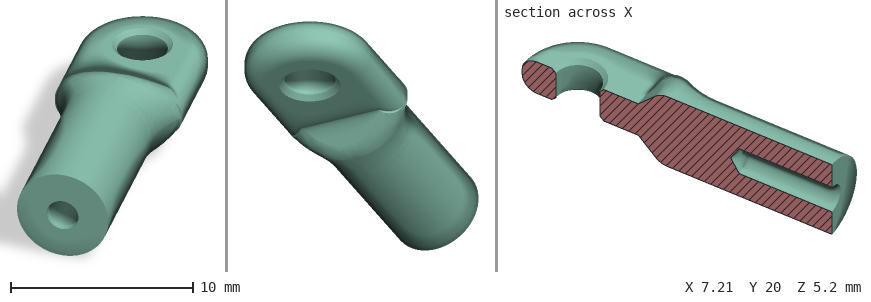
import cadquery as cq
import math

LENGTH = 20.0
SHANK_RADIUS = 2.6
SHANK_LENGTH = 8.55

EYE_RADIUS = 3.6
EYE_THICKNESS = 2.35
EYE_EDGE_FILLET = 1.0
EYE_CENTER_Y = LENGTH - EYE_RADIUS
HOLE_DIAMETER = 2.8
HOLE_CHAMFER = 0.28

BEND_INNER_RADIUS = 4.6
BEND_RADIUS = BEND_INNER_RADIUS + SHANK_RADIUS
BEND_ANGLE = 39.0
RAMP_FOOT_Y = 12.5
RAMP_ROUNDING = 1.2
ROUNDING_STOCK = 1.0

BORE_DIAMETER = 1.8
BORE_DEPTH = 6.0
DRILL_POINT_ANGLE = 118.0


def make_eye():
    """Flat bar with a half-round tip and rounded long edges, starting at the ramp rounding."""
    start_y = SHANK_LENGTH + BEND_INNER_RADIUS * math.sin(math.acos(
        (BEND_RADIUS - EYE_RADIUS) / BEND_INNER_RADIUS))
    eye = (
        cq.Workplane("XY")
        .moveTo(-EYE_RADIUS, start_y)
        .lineTo(-EYE_RADIUS, EYE_CENTER_Y)
        .threePointArc((0, LENGTH), (EYE_RADIUS, EYE_CENTER_Y))
        .lineTo(EYE_RADIUS, start_y)
        .close()
        .extrude(EYE_THICKNESS / 2, both=True)
    )
    return eye.faces("|Z").edges("not <Y").fillet(EYE_EDGE_FILLET)


def bent_tube(side):
    """Shank circle swept sideways around a vertical axis; side is -1 or 1."""
    return (
        cq.Workplane("XZ", origin=(0, SHANK_LENGTH, 0))
        .circle(SHANK_RADIUS)
        .revolve(BEND_ANGLE, (side * BEND_RADIUS, 0, 0), (side * BEND_RADIUS, -side, 0))
    )


def tube_filler():
    """Flat-topped web filling the gap between the two tube centrelines."""
    def on_centreline(angle, side):
        x = side * BEND_RADIUS * (1 - math.cos(math.radians(angle)))
        return (x, SHANK_LENGTH + BEND_RADIUS * math.sin(math.radians(angle)))

    return (
        cq.Workplane("XY")
        .moveTo(0, SHANK_LENGTH)
        .threePointArc(on_centreline(BEND_ANGLE / 2, 1), on_centreline(BEND_ANGLE, 1))
        .lineTo(*on_centreline(BEND_ANGLE, -1))
        .threePointArc(on_centreline(BEND_ANGLE / 2, -1), (0, SHANK_LENGTH))
        .close()
        .extrude(SHANK_RADIUS, both=True)
    )


def ramp_wedge():
    """Wedge along X whose 45 degree flanks pass through the ramp feet on the eye."""
    apex_y = RAMP_FOOT_Y + EYE_THICKNESS / 2
    reach = 2 * EYE_RADIUS
    return (
        cq.Workplane("YZ")
        .polyline([(apex_y, 0), (apex_y - reach, reach), (apex_y - reach, -reach)])
        .close()
        .extrude(2 * reach, both=True)
    )


def block_above(floor_z, width):
    """Large block of the given width standing on the level floor_z."""
    return cq.Workplane("XY", origin=(0, 0, floor_z)).rect(width, 2 * LENGTH).extrude(LENGTH)


def make_neck():
    """Flared neck with rounded ramps, trimmed to the width of the eye."""
    upper = bent_tube(-1).union(bent_tube(1)).union(tube_filler())
    upper = upper.intersect(ramp_wedge())
    upper = upper.intersect(block_above(-ROUNDING_STOCK, 2 * BEND_RADIUS))
    rim_start_y = RAMP_FOOT_Y + EYE_THICKNESS / 2 - SHANK_RADIUS
    rim_zone = cq.selectors.BoxSelector(
        (-EYE_RADIUS, rim_start_y - RAMP_ROUNDING / 2, 0),
        (EYE_RADIUS, RAMP_FOOT_Y, SHANK_RADIUS + RAMP_ROUNDING),
    )
    rims = upper.faces("#X").faces("not <Y").edges(rim_zone)
    upper = upper.newObject(rims.vals()).fillet(RAMP_ROUNDING)
    upper = upper.intersect(block_above(0, 2 * EYE_RADIUS))
    return upper.union(upper.mirror("XY"))


def make_shank():
    """Round bar running from the open end to the neck."""
    return cq.Workplane("XZ").circle(SHANK_RADIUS).extrude(-SHANK_LENGTH)


def cross_hole():
    """Through hole of the eye, opened by a chamfer on both faces."""
    radius = HOLE_DIAMETER / 2
    half = EYE_THICKNESS / 2
    return (
        cq.Workplane("XZ", origin=(0, EYE_CENTER_Y, 0))
        .polyline([
            (0, -half),
            (radius + HOLE_CHAMFER, -half),
            (radius, HOLE_CHAMFER - half),
            (radius, half - HOLE_CHAMFER),
            (radius + HOLE_CHAMFER, half),
            (0, half),
        ])
        .close()
        .revolve(360, (0, 0, 0), (0, 1, 0))
    )


def end_bore():
    """Blind drilled hole with a conical bottom."""
    radius = BORE_DIAMETER / 2
    point_length = radius / math.tan(math.radians(DRILL_POINT_ANGLE / 2))
    return (
        cq.Workplane("XY")
        .polyline([(0, 0), (radius, 0), (radius, BORE_DEPTH), (0, BORE_DEPTH + point_length)])
        .close()
        .revolve(360, (0, 0, 0), (0, 1, 0))
    )


body = make_shank().union(make_neck()).union(make_eye())
result = body.cut(cross_hole()).cut(end_bore())